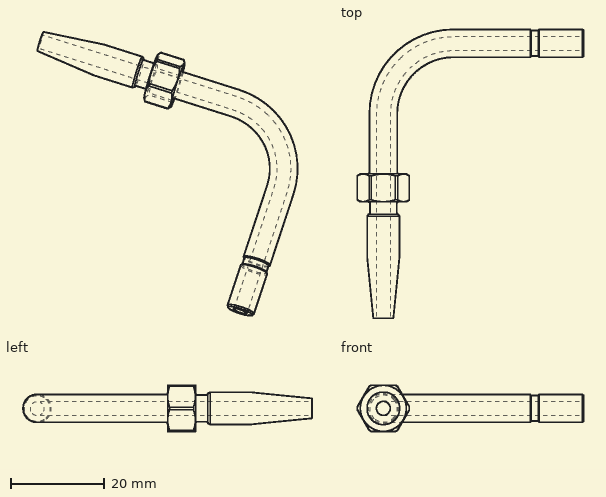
import cadquery as cq
import math

total_length_y = 62.0
total_length_x = 48.6
tube_diameter = 6.0
bore_diameter = 3.0
bend_radius = 15.05

tip_diameter = 4.35
tip_round = 0.25
barrel_diameter = 7.0
taper_length = 13.25
barrel_end_y = 21.9
neck_diameter = 5.8
barrel_chamfer_length = 0.45

nut_start_y = 25.0
nut_thickness = 6.0
nut_across_flats = 10.0
nut_corner_diameter = 11.2
nut_face_diameter = 9.85
nut_chamfer_length = 0.45
root_fillet = 0.3

groove_diameter = 5.5
groove_width = 2.0
groove_to_end = 9.55
groove_side_length = 0.25
end_chamfer_length = 0.4
end_chamfer_depth = 0.25

tube_radius = tube_diameter / 2
neck_radius = neck_diameter / 2
barrel_radius = barrel_diameter / 2
tube_axis_y = total_length_y - tube_radius
bend_start_y = tube_axis_y - bend_radius
tube_end_x = total_length_x - nut_corner_diameter / 2
nut_end_y = nut_start_y + nut_thickness
neck_start_y = barrel_end_y + barrel_chamfer_length


def make_nozzle_and_leg():
    """Nozzle, neck and straight tube leg revolved about the Y axis."""
    diagonal = math.sqrt(0.5)
    shoulder_radius = neck_radius + root_fillet
    shoulder_arc_offset = root_fillet * (1 - diagonal)
    nut_front_arc = (neck_radius + shoulder_arc_offset, nut_start_y - shoulder_arc_offset)
    nut_back_arc = (tube_radius + shoulder_arc_offset, nut_end_y + shoulder_arc_offset)
    barrel_arc = (neck_radius + shoulder_arc_offset, neck_start_y + shoulder_arc_offset)
    profile = (
        cq.Workplane("XY")
        .lineTo(tip_diameter / 2, 0)
        .lineTo(barrel_radius, taper_length)
        .lineTo(barrel_radius, barrel_end_y)
        .lineTo(shoulder_radius, neck_start_y)
        .threePointArc(barrel_arc, (neck_radius, neck_start_y + root_fillet))
        .lineTo(neck_radius, nut_start_y - root_fillet)
        .threePointArc(nut_front_arc, (shoulder_radius, nut_start_y))
        .lineTo(shoulder_radius, nut_end_y)
        .lineTo(tube_radius + root_fillet, nut_end_y)
        .threePointArc(nut_back_arc, (tube_radius, nut_end_y + root_fillet))
        .lineTo(tube_radius, bend_start_y)
        .lineTo(0, bend_start_y)
        .close()
    )
    leg = profile.revolve(360, (0, 0, 0), (0, 1, 0))
    return leg.faces("<Y").edges().fillet(tip_round)


def make_nut():
    """Hexagon with corners trimmed by a cylinder that is chamfered at both ends."""
    across_corners = nut_across_flats / math.cos(math.pi / 6)
    nut_plane = cq.Workplane("XZ", origin=(0, nut_start_y, 0))
    hexagon = nut_plane.polygon(6, across_corners).extrude(-nut_thickness)
    face_radius = nut_face_diameter / 2
    corner_radius = nut_corner_diameter / 2
    trim = (
        cq.Workplane("XY")
        .moveTo(0, nut_start_y)
        .lineTo(face_radius, nut_start_y)
        .lineTo(corner_radius, nut_start_y + nut_chamfer_length)
        .lineTo(corner_radius, nut_end_y - nut_chamfer_length)
        .lineTo(face_radius, nut_end_y)
        .lineTo(0, nut_end_y)
        .close()
        .revolve(360, (0, 0, 0), (0, 1, 0))
    )
    return hexagon.intersect(trim)


def make_bend(diameter):
    """Quarter-torus joining the two straight legs."""
    return (
        cq.Workplane("XZ", origin=(0, bend_start_y, 0))
        .circle(diameter / 2)
        .revolve(90, (bend_radius, 0, 0), (bend_radius, -1, 0))
    )


def make_grooved_leg():
    """Straight leg along X with a groove and a chamfered end."""
    groove_end_x = tube_end_x - groove_to_end
    groove_start_x = groove_end_x - groove_width
    groove_y = tube_axis_y + groove_diameter / 2
    return (
        cq.Workplane("XY")
        .moveTo(bend_radius, tube_axis_y)
        .lineTo(bend_radius, total_length_y)
        .lineTo(groove_start_x, total_length_y)
        .lineTo(groove_start_x + groove_side_length, groove_y)
        .lineTo(groove_end_x - groove_side_length, groove_y)
        .lineTo(groove_end_x, total_length_y)
        .lineTo(tube_end_x - end_chamfer_length, total_length_y)
        .lineTo(tube_end_x, total_length_y - end_chamfer_depth)
        .lineTo(tube_end_x, tube_axis_y)
        .close()
        .revolve(360, (0, tube_axis_y, 0), (1, tube_axis_y, 0))
    )


def make_bore():
    """Constant-diameter passage from the nozzle tip to the tube end."""
    bore_radius = bore_diameter / 2
    nozzle_bore = cq.Workplane("XZ").circle(bore_radius).extrude(-bend_start_y)
    end_bore = (
        cq.Workplane("YZ", origin=(bend_radius, tube_axis_y, 0))
        .circle(bore_radius)
        .extrude(tube_end_x - bend_radius)
    )
    return nozzle_bore.union(make_bend(bore_diameter)).union(end_bore)


outer_body = (
    make_nozzle_and_leg()
    .union(make_nut())
    .union(make_bend(tube_diameter))
    .union(make_grooved_leg())
)
result = outer_body.cut(make_bore())